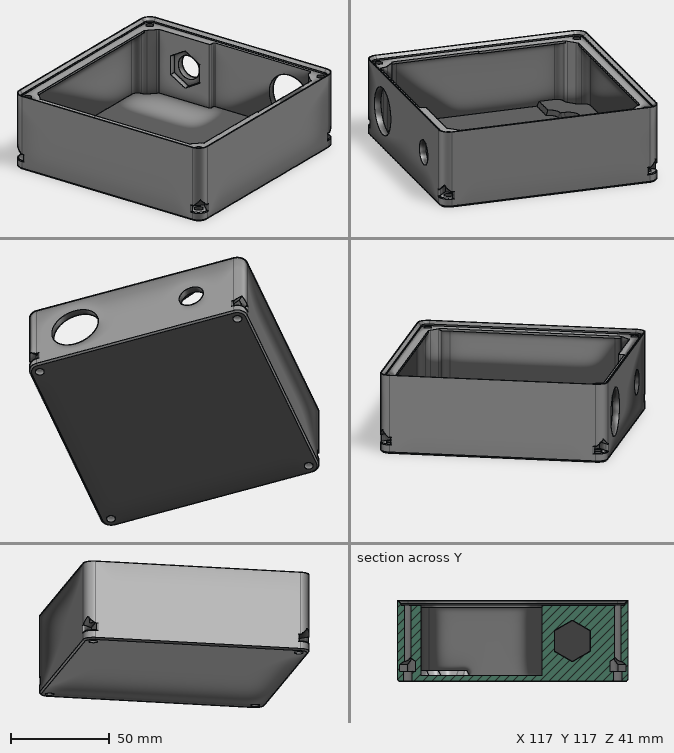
import cadquery as cq
import math

side = 117.0
height = 41.0
corner_radius = 5.4
bottom_chamfer = 0.9
wall = 1.6
floor = 3.0
bevel_angle = 45

rim_top_width = 0.4
rim_width = 1.9
ledge_depth = 2.3
ledge_width = 6.8
lip_thickness = 1.2

post_size = 12.3
post_chamfer = 5.6
post_fillet = 3.7
screw_inset = 5.3
screw_diameter = 3.9
screw_entry_diameter = 4.5

nut_flats = 7.0
nut_floor = 5.0
nut_height = 3.5
nut_mouth_fillet = 0.68
nut_floor_chamfer = 0.5

thick_wall = 6.7
thin_wall = 3.5
window_left = -14.5
window_fillet = 0.9

large_port_diameter = 25.0
large_port_x = 32.4
small_port_diameter = 13.0
small_port_x = -30.2
port_z = height / 2
port_nut_flats = 18.0
port_nut_wall = 3.5

pad_left = 22.0
pad_top = -33.0
pad_height = 2.5
pad_slope = math.degrees(math.atan(0.5))
hump_radius = 1.9
hump_y = -42.4
hump_run = 4.7
scallop_radius = 4.7
shoulder_radius = 1.4

half = side / 2
ledge_z = height - ledge_depth
inner_half = half - wall
ledge_half = half - ledge_width
thick_y = half - thick_wall
thin_y = half - thin_wall
post_edge = half - post_size
screw_place = half - screw_inset
diagonal = math.sqrt(0.5)
corner_angles = (45, 135, 225, 315)


def block(x_min, x_max, y_min, y_max, z_min, z_max):
    size = (x_max - x_min, y_max - y_min, z_max - z_min)
    return cq.Workplane("XY").box(*size, centered=False).translate((x_min, y_min, z_min))


def rounded_block(width, radius, z_min, depth, taper=0):
    """Square block with rounded corners; a positive taper narrows it upwards."""
    outline = cq.Sketch().rect(width, width).vertices().fillet(radius)
    return cq.Workplane("XY").workplane(offset=z_min).placeSketch(outline).extrude(depth, taper=taper)


def make_shell():
    return rounded_block(side, corner_radius, 0, height).faces("<Z").chamfer(bottom_chamfer)


def make_lid_seat():
    """Space above the ledge, widening to the rim through a slope."""
    slope_depth = (rim_width - rim_top_width) / math.tan(math.radians(bevel_angle))
    seat_width = side - 2 * rim_width
    seat_radius = corner_radius - rim_width
    seat = rounded_block(seat_width, seat_radius, ledge_z, ledge_depth)
    mouth = rounded_block(seat_width, seat_radius, height - slope_depth, slope_depth, -bevel_angle)
    return seat.union(mouth)


def make_posts():
    """Corner blocks with a chamfered inner corner, rounded where they turn towards the walls."""
    bevel = post_edge + post_chamfer
    arm_end = post_edge - post_size
    post = (
        cq.Workplane("XY")
        .workplane(offset=floor)
        .moveTo(post_edge, bevel)
        .lineTo(bevel, post_edge)
        .lineTo(inner_half, post_edge)
        .lineTo(inner_half, arm_end)
        .lineTo(half, arm_end)
        .lineTo(half, half)
        .lineTo(arm_end, half)
        .lineTo(arm_end, inner_half)
        .lineTo(post_edge, inner_half)
        .close()
        .extrude(ledge_z - floor)
    )
    rounded = [(post_edge, bevel), (bevel, post_edge), (inner_half, post_edge), (post_edge, inner_half)]
    for x, y in rounded:
        corner_edge = cq.selectors.NearestToPointSelector((x, y, (floor + ledge_z) / 2))
        post = post.edges(corner_edge).fillet(post_fillet)
    posts = post
    for angle in (90, 180, 270):
        posts = posts.union(post.rotate((0, 0, 0), (0, 0, 1), angle))
    return posts


def make_opening():
    """Clear opening inside the ledge, reaching further out where the +Y wall is thin."""
    opening = block(-ledge_half, ledge_half, -ledge_half, thick_y, floor, ledge_z)
    opening = opening.union(block(window_left, post_edge, 0, thin_y, floor, ledge_z))
    for y in (thin_y, thick_y):
        step_edge = cq.selectors.NearestToPointSelector((window_left, y, (floor + ledge_z) / 2))
        opening = opening.edges(step_edge).fillet(window_fillet)
    post_side = block(0, half - post_size / 2, 0, thin_y, floor, ledge_z)
    return opening.union(post_side).cut(make_posts())


def make_undercut():
    """Space below the ledge, leaving a thin lip; the +Y wall stays thick."""
    room = block(-inner_half, inner_half, -inner_half, thick_y, floor, ledge_z - lip_thickness)
    return room.cut(make_posts())


def make_nut_pocket():
    """Slot for a nut on the Z axis, open towards +X through rounded mouth edges, with a gable roof."""
    half_width = nut_flats / 2
    half_angle = math.radians(45 / 2)
    wall_distance = screw_inset / diagonal
    round_x = wall_distance - half_width - nut_mouth_fillet / math.tan(half_angle)
    round_y = half_width + nut_mouth_fillet
    wall_x = round_x + nut_mouth_fillet * diagonal
    wall_y = round_y + nut_mouth_fillet * diagonal
    bulge_x = round_x + nut_mouth_fillet * math.cos(half_angle)
    bulge_y = round_y - nut_mouth_fillet * math.sin(half_angle)
    reach = wall_distance + nut_flats
    top = nut_height + half_width

    plan = (
        cq.Workplane("XY")
        .workplane(offset=-nut_floor_chamfer)
        .moveTo(-half_width, half_width)
        .lineTo(round_x, half_width)
        .threePointArc((bulge_x, bulge_y), (wall_x, wall_y))
        .lineTo(reach, wall_y + reach - wall_x)
        .lineTo(reach, -wall_y - reach + wall_x)
        .lineTo(wall_x, -wall_y)
        .threePointArc((bulge_x, -bulge_y), (round_x, -half_width))
        .lineTo(-half_width, -half_width)
        .close()
        .extrude(top + nut_floor_chamfer)
    )
    gable = [
        (-reach, -nut_floor_chamfer),
        (reach, -nut_floor_chamfer),
        (reach, nut_height),
        (half_width, nut_height),
        (0, top),
        (-half_width, nut_height),
        (-reach, nut_height),
    ]
    roof = cq.Workplane("YZ").polyline(gable).close().extrude(reach, both=True)
    return plan.intersect(roof)


def make_nut_pockets():
    """One pocket per corner; the floor edge at the mouth is chamfered."""
    pocket = make_nut_pocket().translate((screw_place / diagonal, 0, nut_floor))
    base = nut_floor - nut_floor_chamfer
    kept_floor = rounded_block(side, corner_radius, base, nut_floor_chamfer, bevel_angle)
    pockets = cq.Workplane("XY")
    for angle in corner_angles:
        pockets = pockets.add(pocket.rotate((0, 0, 0), (0, 0, 1), angle).cut(kept_floor))
    return pockets.combine()


def make_screw_holes():
    places = [(x, y) for x in (-screw_place, screw_place) for y in (-screw_place, screw_place)]
    upper = cq.Workplane("XY").pushPoints(places).circle(screw_diameter / 2).extrude(height)
    lower = cq.Workplane("XY").pushPoints(places).circle(screw_entry_diameter / 2).extrude(nut_floor)
    return upper.union(lower)


def make_ports():
    """Large round port, and a small one with a hexagonal nut recess on the inside."""
    outside = cq.Workplane("XZ", origin=(0, half, port_z))
    large = outside.center(large_port_x, 0).circle(large_port_diameter / 2).extrude(thick_wall)
    small = outside.center(small_port_x, 0).circle(small_port_diameter / 2).extrude(thick_wall)
    recess = (
        cq.Workplane("XZ", origin=(0, half - port_nut_wall, port_z))
        .polygon(6, port_nut_flats / math.cos(math.pi / 6))
        .extrude(thick_wall - port_nut_wall)
        .rotate((0, 0, port_z), (0, 1, port_z), 30)
        .translate((small_port_x, 0, 0))
    )
    return large.union(small).union(recess)


def make_floor_pad():
    """Low pad with sloping sides; its wavy edge follows two scallops."""
    hump_x = pad_left + hump_radius
    trough_x = hump_x + (hump_radius + scallop_radius + hump_run) * diagonal
    trough_y = hump_y + (hump_radius + scallop_radius - hump_run) * diagonal
    trough_right = trough_x + scallop_radius
    shoulder_x = trough_right + shoulder_radius
    shoulder_y = pad_top - scallop_radius - shoulder_radius

    def on_arc(x, y, radius, angle):
        turn = math.radians(angle)
        return (x + radius * math.cos(turn), y + radius * math.sin(turn))

    pad = (
        cq.Workplane("XY")
        .workplane(offset=floor)
        .moveTo(pad_left, -side)
        .lineTo(pad_left, hump_y)
        .threePointArc(on_arc(hump_x, hump_y, hump_radius, 112.5), on_arc(hump_x, hump_y, hump_radius, 45))
        .lineTo(*on_arc(trough_x, trough_y, scallop_radius, 225))
        .threePointArc(on_arc(trough_x, trough_y, scallop_radius, 292.5), (trough_right, trough_y))
        .lineTo(trough_right, shoulder_y)
        .threePointArc(
            on_arc(shoulder_x, shoulder_y, shoulder_radius, 135),
            (shoulder_x, shoulder_y + shoulder_radius),
        )
        .threePointArc(
            on_arc(shoulder_x, pad_top, scallop_radius, 315),
            (shoulder_x + scallop_radius, pad_top),
        )
        .lineTo(side, pad_top)
        .lineTo(side, -side)
        .close()
        .extrude(pad_height, taper=pad_slope)
    )
    return pad.intersect(make_shell())


result = (
    make_shell()
    .cut(make_lid_seat())
    .cut(make_undercut())
    .cut(make_opening())
    .union(make_floor_pad())
    .cut(make_ports())
    .cut(make_nut_pockets())
    .cut(make_screw_holes())
)